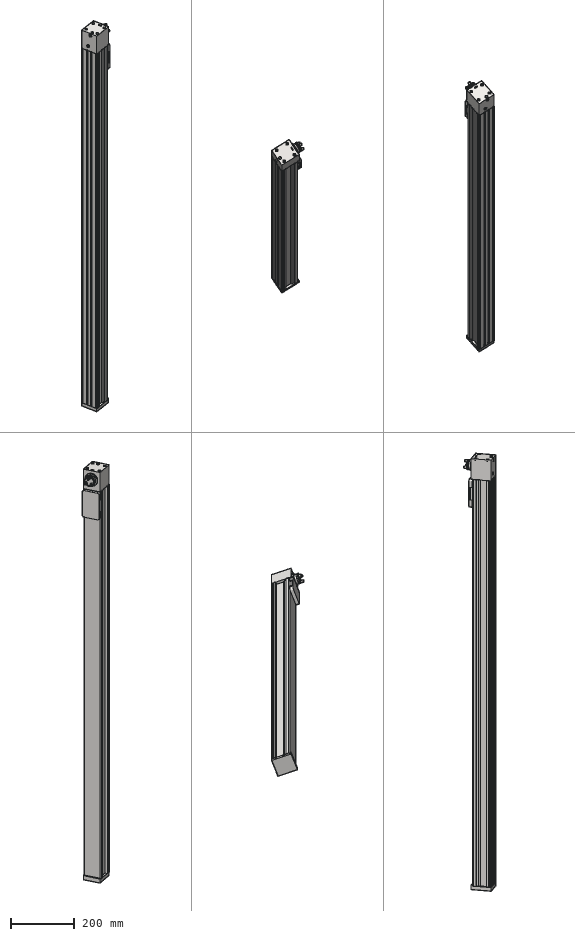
import cadquery as cq
import math


total_height = 1416.0
head_height = 68.0
cap_height = 12.2
head_bottom = total_height - head_height
end_width = 58.0
end_depth = 65.0

profile_depth = 61.0
profile_length = head_bottom - cap_height
slot_floor_half_width = 21.0
slot_lip = 8.8
profile_half_width = slot_floor_half_width + slot_lip
side_slot_front = 14.0
side_slot_back = 48.0
side_step_height = 3.5
side_step_front = 37.0
side_step_back = 41.0
back_chamfer = 3.5
flange_groove_front = 5.0
front_corner_width = 2.1
corner_groove_width = 3.5
corner_groove_depth = 1.0
front_groove_offset = 7.8
front_groove_width = 5.0
front_groove_depth = 5.0

screw_head_diameter = 8.1
screw_head_depth = 5.0
screw_bore_diameter = 5.0
screw_bore_depth = 11.0
screw_x = 21.0
screw_front_y = 13.5
screw_back_y = 52.0
front_hole_diameter = 10.0
front_hole_x = 4.0
front_hole_low_z = head_bottom + 17.0
front_hole_high_z = total_height - 8.0
top_hole_diameter = 8.0
top_hole_x = 5.0
top_hole_y = 8.0
top_hole_depth = 3.0
top_slot_length = 10.0
top_slot_width = 2.4
top_slot_x = 1.0
top_slot_y = 57.0
top_slot_depth = 3.0

lip_height = 3.0

connector_z = total_height - 30.0
flange_diameter = 42.0
flange_end = 70.0
barrel_diameter = 33.0
barrel_end = 84.0
neck_diameter = 30.0
neck_start = 76.0
neck_end = 81.0
pin_count = 3
pin_diameter = 8.0
pin_circle_radius = 12.0
pin_end = 93.0
pin_chamfer = 2.1

plate_width = 60.0
plate_top = head_bottom - 1.0
plate_height = 92.0
plate_end = 72.0
plate_corner_radius = 7.0
notch_height = 41.0
notch_depth = 3.0
notch_end = 68.0
notch_bottom = plate_top - plate_height / 2 - notch_height / 2


def block(width, y_start, y_end, z_start, z_end, x_center=0.0):
    """Box centred on x_center, between two Y and two Z positions."""
    size = (width, y_end - y_start, z_end - z_start)
    box = cq.Workplane("XY").box(*size, centered=(True, False, False))
    return box.translate((x_center, y_start, z_start))


def cylinder_along_y(diameter, y_start, y_end, x, z):
    """Round bar running in +Y from y_start to y_end."""
    start = cq.Vector(x, y_start, z)
    length = y_end - y_start
    return cq.Workplane(cq.Solid.makeCylinder(diameter / 2, length, start, cq.Vector(0, 1, 0)))


def cylinder_down(diameter, depth, x, y):
    """Round bar sunk from the top of the head."""
    top = cq.Vector(x, y, total_height)
    return cq.Workplane(cq.Solid.makeCylinder(diameter / 2, depth, top, cq.Vector(0, 0, -1)))


def make_profile():
    """Long extrusion with a stepped slot in each side and grooves in the front and its corners."""
    floor_x = slot_floor_half_width
    corner_groove_outer_x = profile_half_width - front_corner_width
    corner_groove_inner_x = corner_groove_outer_x - corner_groove_width
    flange_groove_x = profile_half_width - corner_groove_depth
    flange_groove_back = flange_groove_front + corner_groove_width
    right_side = [
        (corner_groove_inner_x, 0),
        (corner_groove_inner_x, corner_groove_depth),
        (corner_groove_outer_x, corner_groove_depth),
        (corner_groove_outer_x, 0),
        (profile_half_width, 0),
        (profile_half_width, flange_groove_front),
        (flange_groove_x, flange_groove_front),
        (flange_groove_x, flange_groove_back),
        (profile_half_width, flange_groove_back),
        (profile_half_width, side_slot_front),
        (floor_x, side_slot_front),
        (floor_x, side_step_front),
        (floor_x + side_step_height, side_step_back),
        (floor_x + side_step_height, side_slot_back),
        (profile_half_width, side_slot_back),
        (profile_half_width, profile_depth - back_chamfer),
        (profile_half_width - back_chamfer, profile_depth),
    ]
    left_side = [(-x, y) for x, y in reversed(right_side)]
    profile = (
        cq.Workplane("XY", origin=(0, 0, cap_height))
        .polyline(right_side + left_side)
        .close()
        .extrude(profile_length)
    )
    for side in (-1, 1):
        groove_x = side * front_groove_offset
        profile = profile.cut(
            block(front_groove_width, 0, front_groove_depth, cap_height, head_bottom, groove_x)
        )
    return profile


def make_head():
    """Drive head: a plain block with screw holes in its top and front."""
    head = block(end_width, 0, end_depth, head_bottom, total_height)
    for x in (-screw_x, screw_x):
        for y in (screw_front_y, screw_back_y):
            head = head.cut(cylinder_down(screw_head_diameter, screw_head_depth, x, y))
            head = head.cut(cylinder_down(screw_bore_diameter, screw_bore_depth, x, y))
    for x, z in ((-front_hole_x, front_hole_low_z), (front_hole_x, front_hole_high_z)):
        head = head.cut(cylinder_along_y(front_hole_diameter, 0, screw_head_depth, x, z))
        head = head.cut(cylinder_along_y(screw_bore_diameter, 0, screw_bore_depth, x, z))
    head = head.cut(
        block(
            top_slot_length,
            top_slot_y - top_slot_width / 2,
            top_slot_y + top_slot_width / 2,
            total_height - top_slot_depth,
            total_height,
            top_slot_x,
        )
    )
    return head.cut(cylinder_down(top_hole_diameter, top_hole_depth, top_hole_x, top_hole_y))


def make_cap():
    """End cap under the profile, with a lip that rises behind it."""
    cap = block(end_width, 0, end_depth, 0, cap_height)
    return cap.union(block(end_width, profile_depth, end_depth, 0, cap_height + lip_height))


def make_connector():
    """Round flanged connector with a neck and a ring of pins."""
    connector = cylinder_along_y(flange_diameter, end_depth, flange_end, 0, connector_z)
    for diameter, y_start, y_end in (
        (barrel_diameter, flange_end, neck_start),
        (neck_diameter, neck_start, neck_end),
        (barrel_diameter, neck_end, barrel_end),
    ):
        connector = connector.union(cylinder_along_y(diameter, y_start, y_end, 0, connector_z))
    for index in range(pin_count):
        angle = math.pi / 2 + index * 2 * math.pi / pin_count
        x = pin_circle_radius * math.cos(angle)
        z = connector_z + pin_circle_radius * math.sin(angle)
        pin = cylinder_along_y(pin_diameter, barrel_end, pin_end, x, z)
        connector = connector.union(pin.faces(">Y").chamfer(pin_chamfer))
    return connector


def make_back_plate():
    """Rounded plate on the back of the profile, notched in the middle of both sides."""
    plate = block(plate_width, profile_depth, plate_end, plate_top - plate_height, plate_top)
    plate = plate.edges("|Y").fillet(plate_corner_radius)
    for side in (-1, 1):
        notch_x = side * (plate_width - notch_depth) / 2
        notch_top = notch_bottom + notch_height
        plate = plate.cut(
            block(notch_depth, profile_depth, notch_end, notch_bottom, notch_top, notch_x)
        )
    return plate


profile = make_profile()
head = make_head()
cap = make_cap()
connector = make_connector()
back_plate = make_back_plate()

result = cq.Compound.makeCompound(
    [profile.val(), head.val(), cap.val(), connector.val(), back_plate.val()]
)